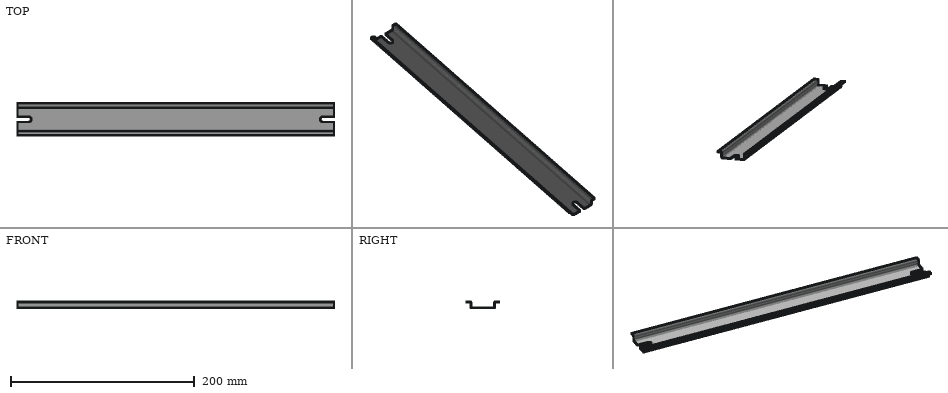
import cadquery as cq

LENGTH = 345.0
WIDTH = 35.0
HEIGHT = 7.5
SHEET = 1.0

CHANNEL_OUTER_WIDTH = 27.0
WALL_OUTSIDE = CHANNEL_OUTER_WIDTH / 2
WALL_INSIDE = WALL_OUTSIDE - SHEET

LIP_INNER_RADIUS = 0.8
LIP_OUTER_RADIUS = LIP_INNER_RADIUS + SHEET

BASE_INNER_RADIUS = 0.5
BASE_OUTER_RADIUS = 2.0

SLOT_WIDTH = 5.5
SLOT_DEPTH = 15.0


def hat_outline():
    """Sharp-cornered hat section, centred on Y with its base on Z = 0."""
    lip_edge = WIDTH / 2
    lip_underside = HEIGHT - SHEET
    half = [
        (WALL_OUTSIDE, 0),
        (WALL_OUTSIDE, lip_underside),
        (lip_edge, lip_underside),
        (lip_edge, HEIGHT),
        (WALL_INSIDE, HEIGHT),
        (WALL_INSIDE, SHEET),
    ]
    mirrored = [(-y, z) for y, z in reversed(half)]
    return half + mirrored


def round_edge_pair(body, half_width, height, radius):
    """Fillet the two lengthwise edges at Y = +/- half_width and Z = height."""
    edges = []
    for side in (-1, 1):
        nearest = cq.selectors.NearestToPointSelector((0, side * half_width, height))
        edges.append(body.edges("|X").edges(nearest).val())
    return body.newObject(edges).fillet(radius)


def bent_rail():
    """Hat section extruded along X with rounded bends."""
    rail = cq.Workplane("YZ").polyline(hat_outline()).close().extrude(LENGTH / 2, both=True)
    bends = [
        (WALL_OUTSIDE, 0, BASE_OUTER_RADIUS),
        (WALL_INSIDE, SHEET, BASE_INNER_RADIUS),
        (WALL_OUTSIDE, HEIGHT - SHEET, LIP_INNER_RADIUS),
        (WALL_INSIDE, HEIGHT, LIP_OUTER_RADIUS),
    ]
    for half_width, height, radius in bends:
        rail = round_edge_pair(rail, half_width, height, radius)
    return rail


def end_slot(side):
    """Cutter for the round-tipped slot in the base at one end (side = -1 or 1)."""
    radius = SLOT_WIDTH / 2
    end_x = side * LENGTH / 2
    tip_x = side * (LENGTH / 2 - SLOT_DEPTH)
    arc_start_x = tip_x + side * radius
    return (
        cq.Workplane("XY")
        .moveTo(end_x, -radius)
        .lineTo(arc_start_x, -radius)
        .threePointArc((tip_x, 0), (arc_start_x, radius))
        .lineTo(end_x, radius)
        .close()
        .extrude(SHEET)
    )


result = bent_rail()
for end in (-1, 1):
    result = result.cut(end_slot(end))